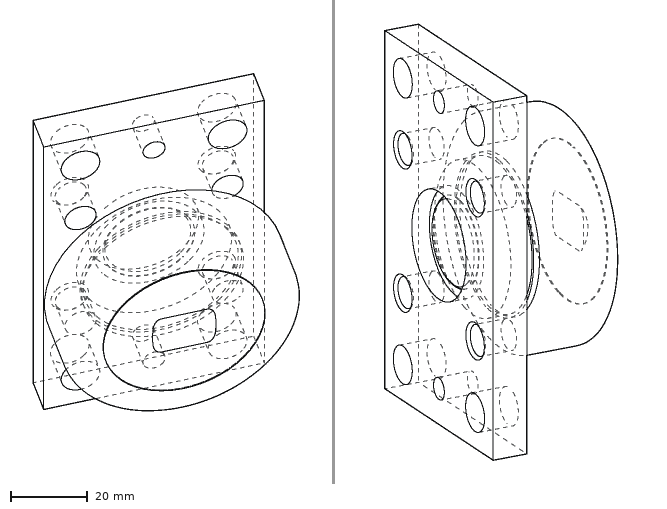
import cadquery as cq

PLATE_THICKNESS = 10.0
PLATE_WIDTH = 60.0
PLATE_HEIGHT = 100.0

HOLE_SPACING_Y = 40.0
MOUNT_SPACING_Z = 80.0
MOUNT_DIAMETER = 10.5
DOWEL_DIAMETER = 6.0
TAPPED_SPACING_Z = 40.0
TAPPED_DIAMETER = 8.5
TAPPED_CHAMFER_DIAMETER = 10.2
TAPPED_CHAMFER_ANGLE = 90.0

RECESS_DIAMETER = 30.0
RECESS_DEPTH = 5.2
AXLE_END_DIAMETER = 25.0
AXLE_END_HEIGHT = 1.0
AXLE_END_CHAMFER = 0.8

NECK_RADIUS = 21.1
RING_RADIUS = 22.0
RING_BACK_X = 16.3
RING_FRONT_X = 38.25

ROLLER_RADIUS = 32.5
ROLLER_BACK_X = 18.0
ROLLER_FRONT_X = 37.95
CROWN_RADIUS = 28.0
BACK_RIM_FILLET = 1.5
FRONT_RIM_FILLET = 3.0

KEY_TOP_X = 40.5
KEY_LENGTH = 17.2
KEY_RADIUS = 10.0
KEY_END_FILLET = 2.4


def disc(radius, start_x, end_x):
    """Cylinder about the X axis."""
    return cq.Workplane("YZ", origin=(start_x, 0, 0)).circle(radius).extrude(end_x - start_x)


def plate():
    body = cq.Workplane("YZ").rect(PLATE_WIDTH, PLATE_HEIGHT).extrude(PLATE_THICKNESS)
    back = body.faces("<X").workplane(origin=(0, 0, 0))
    body = back.rect(HOLE_SPACING_Y, MOUNT_SPACING_Z, forConstruction=True).vertices().hole(MOUNT_DIAMETER)

    back = body.faces("<X").workplane(origin=(0, 0, 0))
    dowel_z = MOUNT_SPACING_Z / 2
    body = back.pushPoints([(0, dowel_z), (0, -dowel_z)]).hole(DOWEL_DIAMETER)

    back = body.faces("<X").workplane(origin=(0, 0, 0))
    tapped = back.rect(HOLE_SPACING_Y, TAPPED_SPACING_Z, forConstruction=True).vertices()
    return tapped.cskHole(TAPPED_DIAMETER, TAPPED_CHAMFER_DIAMETER, TAPPED_CHAMFER_ANGLE)


def axle_end():
    end = disc(AXLE_END_DIAMETER / 2, RECESS_DEPTH - AXLE_END_HEIGHT, RECESS_DEPTH)
    return end.faces("<X").chamfer(AXLE_END_CHAMFER)


def crown_x(radius):
    """X of the crowned front face, level at the ring and falling back toward the rim."""
    return ROLLER_FRONT_X - CROWN_RADIUS + (CROWN_RADIUS**2 - (radius - RING_RADIUS) ** 2) ** 0.5


def roller():
    crown_middle = (RING_RADIUS + ROLLER_RADIUS) / 2
    profile = (
        cq.Workplane("XY")
        .moveTo(ROLLER_BACK_X, 0)
        .lineTo(ROLLER_BACK_X, ROLLER_RADIUS)
        .lineTo(crown_x(ROLLER_RADIUS), ROLLER_RADIUS)
        .threePointArc((crown_x(crown_middle), crown_middle), (ROLLER_FRONT_X, RING_RADIUS))
        .lineTo(ROLLER_FRONT_X, 0)
        .close()
    )
    body = profile.revolve(360, (0, 0, 0), (1, 0, 0))
    rim_tip = cq.selectors.NearestToPointSelector((crown_x(ROLLER_RADIUS), 0, 0))
    body = body.edges("%CIRCLE").edges(rim_tip).fillet(FRONT_RIM_FILLET)
    return body.faces("<X").edges().fillet(BACK_RIM_FILLET)


def key():
    barrel = (
        cq.Workplane("XZ", origin=(KEY_TOP_X - KEY_RADIUS, KEY_LENGTH / 2, 0))
        .circle(KEY_RADIUS)
        .extrude(KEY_LENGTH)
    )
    return barrel.edges("%CIRCLE").fillet(KEY_END_FILLET)


result = (
    plate()
    .cut(disc(RECESS_DIAMETER / 2, 0, RECESS_DEPTH))
    .union(axle_end())
    .union(disc(NECK_RADIUS, PLATE_THICKNESS, RING_BACK_X))
    .union(disc(RING_RADIUS, RING_BACK_X, RING_FRONT_X))
    .union(roller())
    .union(key())
)